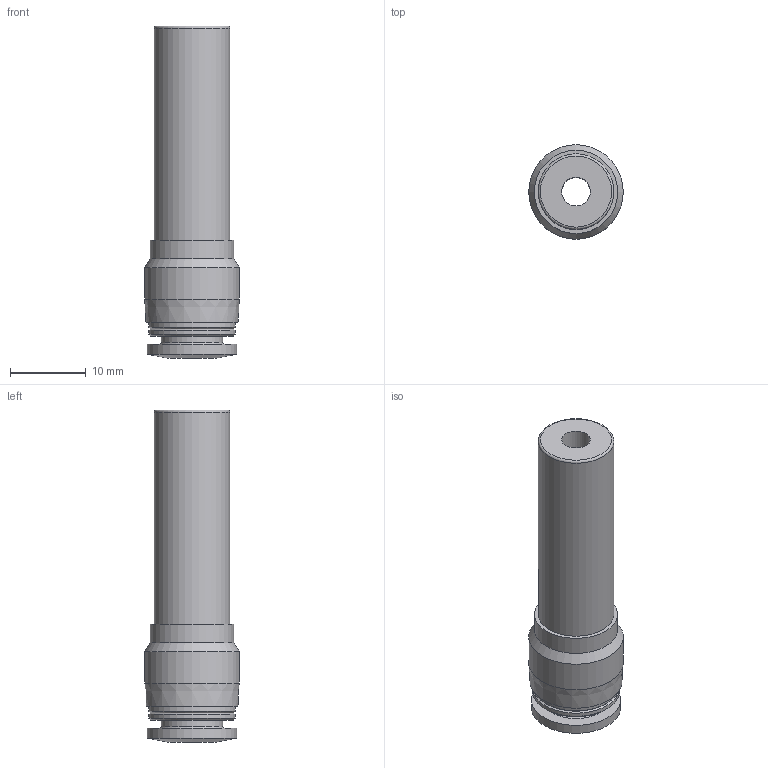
import cadquery as cq

bore_diameter = 3.8
rod_diameter = 10.0
shoulder_diameter = 11.0
body_diameter = 12.5
body_end_diameter = 12.16
ring_diameter = 11.5
groove_diameter = 11.0
stem_diameter = 8.1
flange_diameter = 11.8
flange_face_diameter = 6.6

flange_cone_top = 0.5
flange_top = 1.8
ring_bottom = 2.9
groove_bottom = 3.67
groove_middle = 3.82
groove_top = 4.05
body_bottom = 4.7
body_straight_bottom = 7.8
body_straight_top = 11.95
shoulder_bottom = 13.15
shoulder_top = 15.6
overall_height = 43.9

rod_end_radius = 0.3
stem_root_radius = 0.3
ring_chamfer = (ring_diameter - groove_diameter) / 2
body_end_bulge = 0.008
body_curve_middle_height = (body_bottom + body_straight_bottom) / 2
body_curve_middle_radius = (body_diameter + body_end_diameter) / 4 + body_end_bulge


def turned(profile):
    """Revolve a closed half profile, drawn as radius and height, about Z."""
    return profile.close().revolve(360, (0, 0, 0), (0, 1, 0))


def release_button():
    """Flange with a conical lower face, and the thinner stem with a rounded root."""
    return turned(
        cq.Workplane("XZ")
        .lineTo(flange_face_diameter / 2, 0)
        .lineTo(flange_diameter / 2, flange_cone_top)
        .lineTo(flange_diameter / 2, flange_top)
        .lineTo(stem_diameter / 2 + stem_root_radius, flange_top)
        .radiusArc((stem_diameter / 2, flange_top + stem_root_radius), stem_root_radius)
        .lineTo(stem_diameter / 2, ring_bottom)
        .lineTo(0, ring_bottom)
    )


def collar():
    """Lower ring with a chamfered edge, V groove and second ring below the body."""
    return turned(
        cq.Workplane("XZ")
        .moveTo(0, ring_bottom)
        .lineTo(groove_diameter / 2, ring_bottom)
        .lineTo(ring_diameter / 2, ring_bottom + ring_chamfer)
        .lineTo(ring_diameter / 2, groove_bottom)
        .lineTo(groove_diameter / 2, groove_middle)
        .lineTo(ring_diameter / 2, groove_top)
        .lineTo(ring_diameter / 2, body_bottom)
        .lineTo(0, body_bottom)
    )


def body():
    """Barrel with a curved lower end and a conical step up to the shoulder."""
    return turned(
        cq.Workplane("XZ")
        .moveTo(0, body_bottom)
        .lineTo(body_end_diameter / 2, body_bottom)
        .threePointArc(
            (body_curve_middle_radius, body_curve_middle_height),
            (body_diameter / 2, body_straight_bottom),
        )
        .lineTo(body_diameter / 2, body_straight_top)
        .lineTo(shoulder_diameter / 2, shoulder_bottom)
        .lineTo(shoulder_diameter / 2, shoulder_top)
        .lineTo(0, shoulder_top)
    )


def rod():
    """Long plain rod with a rounded free end."""
    return (
        cq.Workplane("XY", origin=(0, 0, shoulder_top))
        .circle(rod_diameter / 2)
        .extrude(overall_height - shoulder_top)
        .faces(">Z")
        .fillet(rod_end_radius)
    )


def bore():
    """Passage through the full height."""
    return cq.Workplane("XY").circle(bore_diameter / 2).extrude(overall_height)


result = release_button().union(collar()).union(body()).union(rod()).cut(bore())